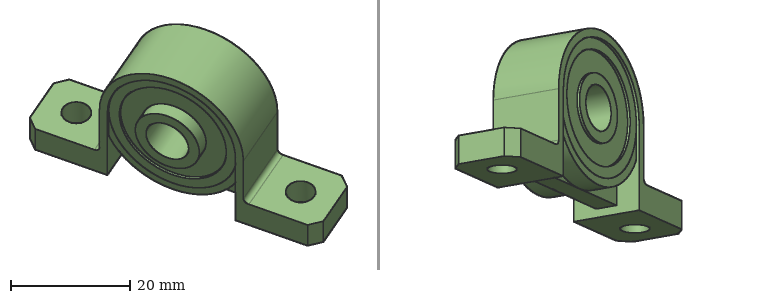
import cadquery as cq

length = 55.0
width = 13.0
base_thickness = 5.0
corner_chamfer = 2.0
fillet_radius = 1.0

wall = 1.5
bore_radius = 12.0
arch_radius = bore_radius + wall
axis_height = 15.0

bolt_diameter = 5.0
bolt_spacing = 42.0

face_setback = 0.55
race_inner_radius = 10.0
shield_recess = 0.5
hub_radius = 6.0
shaft_diameter = 8.0
hub_projection = 1.55

web_thickness = 4.0

front_y = -width / 2
back_y = width / 2
bearing_front = front_y + face_setback
bearing_back = back_y - face_setback


def along_y(start, end):
    """Empty sketch plane at y = start, on the bearing axis, and the length to extrude toward +Y."""
    plane = cq.Plane(origin=(0, start, axis_height), xDir=(1, 0, 0), normal=(0, -1, 0))
    return cq.Workplane(plane), -(end - start)


def cylinder(radius, start, end):
    plane, depth = along_y(start, end)
    return plane.circle(radius).extrude(depth)


def block(half_width, bottom, top, start, end):
    """Box centred in X, with heights given relative to the bearing axis."""
    plane, depth = along_y(start, end)
    return plane.center(0, (bottom + top) / 2).rect(2 * half_width, top - bottom).extrude(depth)


def make_housing():
    foot_top = base_thickness - axis_height
    feet = block(length / 2, -axis_height, foot_top, front_y, back_y).edges("|Z").chamfer(corner_chamfer)
    posts = block(arch_radius, -axis_height, 0, front_y, back_y)
    body = feet.union(posts)
    for side in (-1, 1):
        inner_corner = cq.selectors.NearestToPointSelector((side * arch_radius, 0, base_thickness))
        body = body.edges("|Y").edges(inner_corner).fillet(fillet_radius)
    body = body.union(cylinder(arch_radius, front_y, back_y))

    body = body.cut(block(bore_radius, -axis_height, 0, front_y, back_y))
    web = block(bore_radius, -arch_radius, 0, -web_thickness / 2, web_thickness / 2)
    lip = cylinder(arch_radius, bearing_front, bearing_back)
    lip = lip.intersect(block(bore_radius, -arch_radius, 0, bearing_front, bearing_back))
    body = body.union(web).union(lip)
    body = body.cut(cylinder(bore_radius, front_y, back_y))

    bolts = (
        cq.Workplane("XY")
        .pushPoints([(-bolt_spacing / 2, 0), (bolt_spacing / 2, 0)])
        .circle(bolt_diameter / 2)
        .extrude(base_thickness)
    )
    return body.cut(bolts)


def make_outer_race():
    race = cylinder(bore_radius, bearing_front, bearing_back)
    return race.cut(cylinder(race_inner_radius, bearing_front, bearing_back))


def make_inner_race():
    shield_front = bearing_front + shield_recess
    shield_back = bearing_back - shield_recess
    shield = cylinder(race_inner_radius, shield_front, shield_back)
    hub_front = front_y - hub_projection
    hub = cylinder(hub_radius, hub_front, bearing_back)
    return shield.union(hub).cut(cylinder(shaft_diameter / 2, hub_front, bearing_back))


housing = make_housing()
outer_race = make_outer_race()
inner_race = make_inner_race()

result = cq.Compound.makeCompound([housing.val(), outer_race.val(), inner_race.val()])